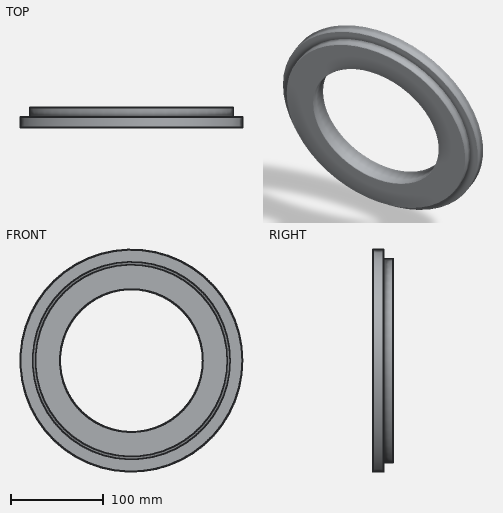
import cadquery as cq

flange_diameter = 240.0
flange_thickness = 12.0
total_thickness = 22.0
spigot_diameter = 220.0
bore_diameter = 153.5
groove_outer_diameter = 213.0
groove_inner_diameter = 207.0
groove_depth = 3.0
edge_chamfer = 0.5


def disc(diameter, start, length):
    """Solid disc along +Y, beginning at the given Y position."""
    sketch_plane = cq.Workplane("XZ", origin=(0, start, 0))
    return sketch_plane.circle(diameter / 2).extrude(-length)


flange = disc(flange_diameter, 0, flange_thickness).edges().chamfer(edge_chamfer)
spigot = disc(spigot_diameter, 0, total_thickness).faces(">Y").edges().chamfer(edge_chamfer)
body = flange.union(spigot)

bore = disc(bore_diameter, 0, total_thickness)
body = body.cut(bore)
bore_rims = cq.selectors.RadiusNthSelector(0)
body = body.edges("%CIRCLE").edges(bore_rims).chamfer(edge_chamfer)

groove = disc(groove_outer_diameter, 0, groove_depth).cut(
    disc(groove_inner_diameter, 0, groove_depth)
)

result = body.cut(groove)